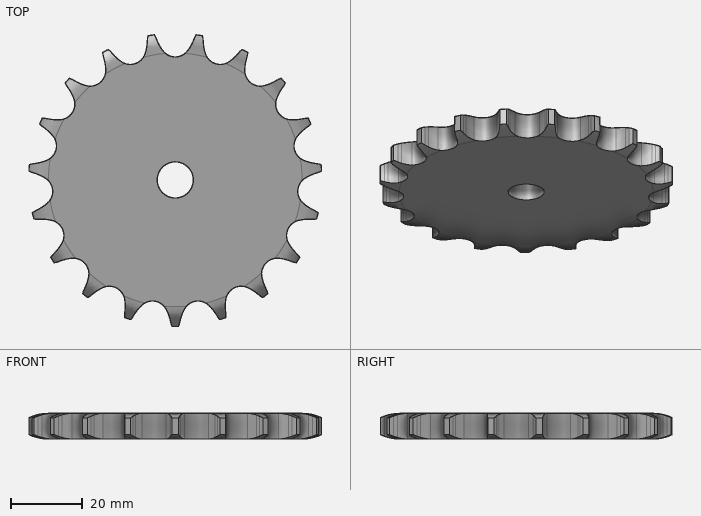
import cadquery as cq
import math

tooth_count = 19
chain_pitch = 12.7
roller_diameter = 8.51
tip_diameter = 81.7
thickness = 7.2
bore_diameter = 10.0

relief_radius = chain_pitch
relief_depth = 0.1 * chain_pitch

inch = 25.4
half_pitch_angle = 180 / tooth_count
pitch_radius = chain_pitch / (2 * math.sin(math.radians(half_pitch_angle)))
tip_radius = tip_diameter / 2
seating_clearance = 0.0015 * inch
seating_radius = 0.5025 * roller_diameter + seating_clearance
seating_end_angle = 35 + 60 / tooth_count
working_sweep = 18 - 56 / tooth_count
working_center_offset = 0.8 * roller_diameter
working_radius = working_center_offset + seating_radius
topping_center_offset = 1.4 * roller_diameter

cutter_margin = 1.0
cutter_bottom = -thickness / 2 - cutter_margin
cutter_height = thickness + 2 * cutter_margin


def point_from(origin, distance, angle):
    """Point at a distance and direction from an origin."""
    direction = math.radians(angle)
    return (
        origin[0] + distance * math.cos(direction),
        origin[1] + distance * math.sin(direction),
    )


def mirrored(point):
    """Point mirrored about the middle line of the gap, the Y axis."""
    return (-point[0], point[1])


def relieved_disc():
    """Disc of the tip diameter whose two faces curve in towards the rim."""
    half_thickness = thickness / 2
    rim_half_width = half_thickness - relief_depth
    arc_end_angle = math.degrees(math.acos(1 - relief_depth / relief_radius))
    relief_length = relief_radius * math.sin(math.radians(arc_end_angle))
    relief_start = tip_radius - relief_length
    relief_center = (relief_start, half_thickness - relief_radius)
    relief_middle = point_from(relief_center, relief_radius, 90 - arc_end_angle / 2)

    profile = (
        cq.Workplane("XZ")
        .moveTo(0, half_thickness)
        .lineTo(relief_start, half_thickness)
        .threePointArc(relief_middle, (tip_radius, rim_half_width))
        .lineTo(tip_radius, -rim_half_width)
        .threePointArc((relief_middle[0], -relief_middle[1]), (relief_start, -half_thickness))
        .lineTo(0, -half_thickness)
        .close()
    )
    return profile.revolve(360, (0, 0), (0, 1))


def gap_cutter():
    """Prism filling one tooth gap, centred on +Y."""
    roller_center = (0, pitch_radius)
    seating_bottom = point_from(roller_center, seating_radius, -90)
    seating_end = point_from(roller_center, seating_radius, -seating_end_angle)

    working_center = point_from(roller_center, working_center_offset, 180 - seating_end_angle)
    working_end_angle = working_sweep - seating_end_angle
    working_middle_angle = working_end_angle - working_sweep / 2
    working_middle = point_from(working_center, working_radius, working_middle_angle)
    working_end = point_from(working_center, working_radius, working_end_angle)

    topping_center = point_from(roller_center, topping_center_offset, -half_pitch_angle)
    across_x = topping_center[0] - working_end[0]
    across_y = topping_center[1] - working_end[1]
    normal_x, normal_y = point_from((0, 0), 1, working_end_angle)
    topping_radius = across_x * normal_x + across_y * normal_y
    straight_length = across_y * normal_x - across_x * normal_y
    straight_end = point_from(working_end, straight_length, working_end_angle + 90)

    center_distance = math.hypot(*topping_center)
    center_angle = math.degrees(math.atan2(topping_center[1], topping_center[0]))
    side_squares = center_distance**2 + tip_radius**2 - topping_radius**2
    corner_cosine = side_squares / (2 * center_distance * tip_radius)
    corner_angle = center_angle + math.degrees(math.acos(corner_cosine))
    tip_corner = point_from((0, 0), tip_radius, corner_angle)
    corner_rise = tip_corner[1] - topping_center[1]
    corner_run = tip_corner[0] - topping_center[0]
    topping_end_angle = math.degrees(math.atan2(corner_rise, corner_run))
    topping_middle_angle = (topping_end_angle + working_end_angle + 180) / 2
    topping_middle = point_from(topping_center, topping_radius, topping_middle_angle)

    outer_corner = (tip_corner[0], tip_radius + cutter_margin)

    outline = (
        cq.Workplane("XY", origin=(0, 0, cutter_bottom))
        .moveTo(*mirrored(outer_corner))
        .lineTo(*mirrored(tip_corner))
        .threePointArc(mirrored(topping_middle), mirrored(straight_end))
        .lineTo(*mirrored(working_end))
        .threePointArc(mirrored(working_middle), mirrored(seating_end))
        .threePointArc(seating_bottom, seating_end)
        .threePointArc(working_middle, working_end)
        .lineTo(*straight_end)
        .threePointArc(topping_middle, tip_corner)
        .lineTo(*outer_corner)
        .close()
    )
    return outline.extrude(cutter_height)


def toothed_plate():
    """Relieved disc with all tooth gaps cut around its rim."""
    plate = relieved_disc()
    cutter = gap_cutter()
    for index in range(tooth_count):
        turn = index * 2 * half_pitch_angle
        plate = plate.cut(cutter.rotate((0, 0, 0), (0, 0, 1), turn))
    return plate


def bore():
    """Through hole on the sprocket axis."""
    plane = cq.Workplane("XY", origin=(0, 0, cutter_bottom))
    return plane.circle(bore_diameter / 2).extrude(cutter_height)


result = toothed_plate().cut(bore())